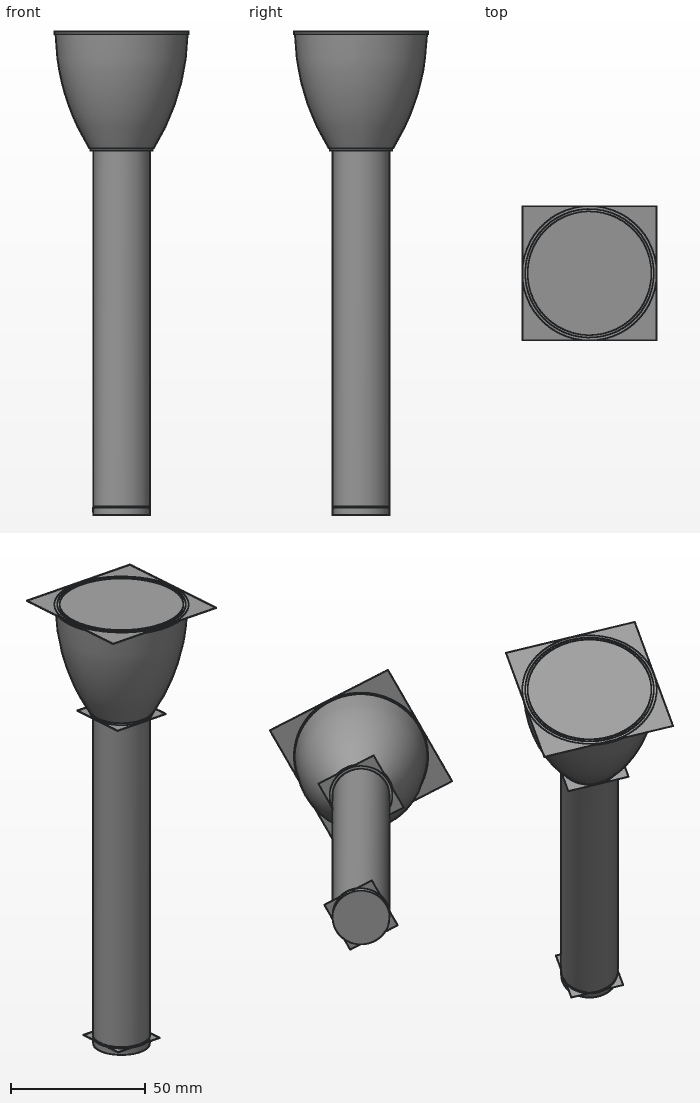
import cadquery as cq

TOTAL_HEIGHT = 179.7
HEAD_BOTTOM = 135.3
SHEET_THICKNESS = 0.2

RIM_RADIUS = 25.0
RIM_HEIGHT = 1.0
COLLAR_RADIUS = 11.7
COLLAR_HEIGHT = 1.0
BELL_TOP_RADIUS = 24.6
BELL_MIDDLE_RADIUS = 21.4
BELL_BOTTOM_RADIUS = 12.0

DISC_RADIUS = 23.0
GROOVE_WIDTH = 0.9
GROOVE_DEPTH = 0.2

BARREL_RADIUS = 10.6
CAP_HEIGHT = 2.7
NECK_RADIUS = 10.0
NECK_HEIGHT = 0.5

RIM_BOTTOM = TOTAL_HEIGHT - RIM_HEIGHT
BELL_BOTTOM = HEAD_BOTTOM + COLLAR_HEIGHT
BELL_MIDDLE = (RIM_BOTTOM + BELL_BOTTOM) / 2
BARREL_BOTTOM = CAP_HEIGHT + NECK_HEIGHT


def square_flange(half_side, bottom):
    """Thin square sheet centred on the axis, with its underside at the given height."""
    side = 2 * half_side
    return cq.Workplane("XY").workplane(offset=bottom).rect(side, side).extrude(SHEET_THICKNESS)


def head_blank():
    """Rim, bell and collar turned about the Z axis."""
    return (
        cq.Workplane("XZ")
        .moveTo(0, HEAD_BOTTOM)
        .lineTo(COLLAR_RADIUS, HEAD_BOTTOM)
        .lineTo(COLLAR_RADIUS, BELL_BOTTOM)
        .lineTo(BELL_BOTTOM_RADIUS, BELL_BOTTOM)
        .threePointArc((BELL_MIDDLE_RADIUS, BELL_MIDDLE), (BELL_TOP_RADIUS, RIM_BOTTOM))
        .lineTo(RIM_RADIUS, RIM_BOTTOM)
        .lineTo(RIM_RADIUS, TOTAL_HEIGHT)
        .lineTo(0, TOTAL_HEIGHT)
        .close()
        .revolve(360, (0, 0, 0), (0, 1, 0))
    )


def disc_groove():
    """Ring cut into the top face around the front disc."""
    return (
        cq.Workplane("XY")
        .workplane(offset=TOTAL_HEIGHT - GROOVE_DEPTH)
        .circle(DISC_RADIUS + GROOVE_WIDTH)
        .circle(DISC_RADIUS)
        .extrude(GROOVE_DEPTH)
    )


def make_head():
    """Bell-shaped head with a square flange at its top face and another at its bottom face."""
    return (
        head_blank()
        .union(square_flange(RIM_RADIUS, TOTAL_HEIGHT - SHEET_THICKNESS))
        .union(square_flange(COLLAR_RADIUS, HEAD_BOTTOM))
        .cut(disc_groove())
    )


def make_barrel():
    """Round barrel, neck and end cap in one piece, with a square flange on top of the cap."""
    cap = cq.Workplane("XY").circle(BARREL_RADIUS).extrude(CAP_HEIGHT)
    neck = cq.Workplane("XY").workplane(offset=CAP_HEIGHT).circle(NECK_RADIUS).extrude(NECK_HEIGHT)
    tube = (
        cq.Workplane("XY")
        .workplane(offset=BARREL_BOTTOM)
        .circle(BARREL_RADIUS)
        .extrude(HEAD_BOTTOM - BARREL_BOTTOM)
    )
    return cap.union(neck).union(tube).union(square_flange(NECK_RADIUS, CAP_HEIGHT))


head = make_head()
barrel = make_barrel()

result = cq.Compound.makeCompound([head.val(), barrel.val()])